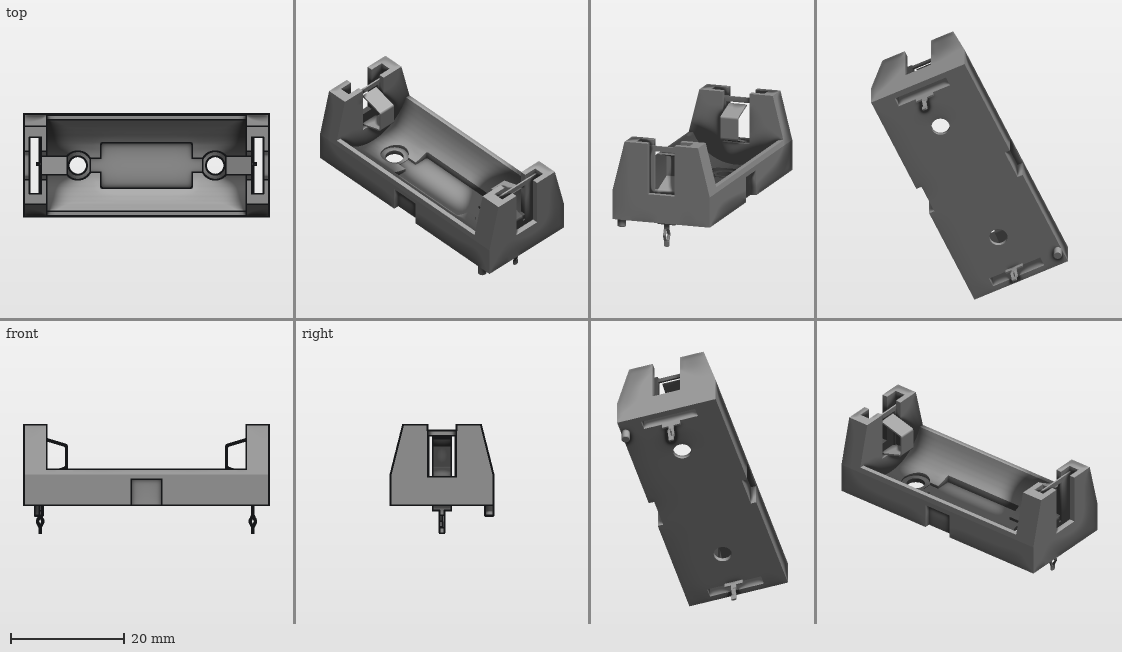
import cadquery as cq

LENGTH = 43.3
WIDTH = 18.2
BODY_HEIGHT = 14.3
SIDE_HEIGHT = 5.5
TOP_WIDTH = 13.75
RAIL_HEIGHT = 6.4
TOWER_LENGTH = 4.05

TROUGH_RADIUS = 8.8
TROUGH_FLOOR = 1.15
FLAT_WIDTH = 1.2
TROUGH_LENGTH = LENGTH - 2 * TOWER_LENGTH

POCKET_LENGTH = 16.05
POCKET_WIDTH = 7.95
POCKET_CORNER_RADIUS = 0.25
POCKET_FLOOR = 0.7
CHANNEL_WIDTH = 2.45
HOLE_SPACING = 24.25
HOLE_DIAMETER = 3.2
COUNTERBORE_DIAMETER = 5.0
COUNTERBORE_FLOOR = 0.82

NOTCH_LENGTH = 5.35
NOTCH_HEIGHT = 4.6
NOTCH_DEPTH = 1.0

OUTER_WALL = 1.05
CONTACT_SLOT_LENGTH = 2.0
CONTACT_SLOT_WIDTH = 9.95
TOWER_GAP_WIDTH = 5.05
TOWER_GAP_FLOOR = 5.1

PEG_DIAMETER = 1.5
PEG_LENGTH = 1.85
PEG_CHAMFER = 0.15
PEG_INSET = 2.65

SHEET = 0.3
PLATE_TOP = 13.25
WINDOW_WIDTH = 4.6
WINDOW_TOP = 12.3
WINDOW_BOTTOM = 4.2
LEAF_WIDTH = 3.3
LEAF_REACH = 4.65
LEAF_ROOT = 5.2
LEAF_LOWER_BEND = 6.62
LEAF_UPPER_BEND = 10.55
LEAF_TIP = 11.9
LEAF_BEND_RADIUS = 0.3
FOOT_DEPTH = 0.9
PIN_WIDTH = 0.95
PIN_LENGTH = 4.95
PIN_TIP_CHAMFER = 0.17
BOW_TOP = 1.7
BOW_BOTTOM = 3.9
BOW_OFFSET = 0.5
BOW_BEND_RADIUS = 0.35

CONTACT_FACE = -LENGTH / 2 + OUTER_WALL + CONTACT_SLOT_LENGTH
SHEET_MIDDLE = CONTACT_FACE - SHEET / 2


def box(x_range, y_range, z_range):
    """Box between two limits on each axis."""
    limits = (x_range, y_range, z_range)
    size = [high - low for low, high in limits]
    corner = cq.Vector(*[low for low, high in limits])
    return cq.Workplane(cq.Solid.makeBox(*size, pnt=corner))


def centred(width):
    return (-width / 2, width / 2)


def both_ends(shape):
    """The shape at the -X end together with its mirror image at the +X end."""
    return shape.union(shape.mirror("YZ"))


def bent_strip(points, y_range, bend_radius):
    """Sheet strip whose middle line follows (x, z) points."""
    path = cq.Wire.makePolygon([cq.Vector(x, 0, z) for x, z in points])
    path = path.fillet(bend_radius, path.Vertices()[1:-1])
    start_x, start_z = points[0]
    low, high = y_range
    section = cq.Workplane("XY", origin=(start_x, (low + high) / 2, start_z)).rect(SHEET, high - low)
    return section.sweep(cq.Workplane(path))


def make_body():
    outline = [
        (-WIDTH / 2, 0),
        (WIDTH / 2, 0),
        (WIDTH / 2, SIDE_HEIGHT),
        (TOP_WIDTH / 2, BODY_HEIGHT),
        (-TOP_WIDTH / 2, BODY_HEIGHT),
        (-WIDTH / 2, SIDE_HEIGHT),
    ]
    body = cq.Workplane("YZ").polyline(outline).close().extrude(LENGTH / 2, both=True)
    opening = box(centred(TROUGH_LENGTH), centred(WIDTH), (RAIL_HEIGHT, BODY_HEIGHT))
    trough = (
        cq.Workplane("YZ")
        .center(0, TROUGH_FLOOR + TROUGH_RADIUS)
        .circle(TROUGH_RADIUS)
        .extrude(TROUGH_LENGTH / 2, both=True)
    )
    flat_level = TROUGH_FLOOR + TROUGH_RADIUS - (TROUGH_RADIUS**2 - (FLAT_WIDTH / 2) ** 2) ** 0.5
    flat = box(centred(TROUGH_LENGTH), centred(FLAT_WIDTH), (0, flat_level))
    return body.cut(opening).cut(trough).union(flat)


def cut_floor(body):
    recess_levels = (POCKET_FLOOR, RAIL_HEIGHT)
    pocket = box(centred(POCKET_LENGTH), centred(POCKET_WIDTH), recess_levels)
    pocket = pocket.edges("|Z").fillet(POCKET_CORNER_RADIUS)
    counterbore_chord = (COUNTERBORE_DIAMETER**2 - CHANNEL_WIDTH**2) ** 0.5
    channel = box(centred(HOLE_SPACING - counterbore_chord), centred(CHANNEL_WIDTH), recess_levels)
    hole_centres = [(-HOLE_SPACING / 2, 0), (HOLE_SPACING / 2, 0)]
    holes = cq.Workplane("XY").pushPoints(hole_centres).circle(HOLE_DIAMETER / 2).extrude(RAIL_HEIGHT)
    counterbores = (
        cq.Workplane("XY", origin=(0, 0, COUNTERBORE_FLOOR))
        .pushPoints(hole_centres)
        .circle(COUNTERBORE_DIAMETER / 2)
        .extrude(RAIL_HEIGHT - COUNTERBORE_FLOOR)
    )
    return body.cut(pocket).cut(channel).cut(holes).cut(counterbores)


def cut_side_notches(body):
    notch = box(centred(NOTCH_LENGTH), (-WIDTH / 2, -WIDTH / 2 + NOTCH_DEPTH), (0, NOTCH_HEIGHT))
    return body.cut(notch).cut(notch.mirror("XZ"))


def cut_towers(body):
    slot = box(
        (CONTACT_FACE - CONTACT_SLOT_LENGTH, CONTACT_FACE),
        centred(CONTACT_SLOT_WIDTH),
        (0, BODY_HEIGHT),
    )
    gap = box(
        (-LENGTH / 2, -LENGTH / 2 + TOWER_LENGTH),
        centred(TOWER_GAP_WIDTH),
        (TOWER_GAP_FLOOR, BODY_HEIGHT),
    )
    return body.cut(both_ends(slot.union(gap)))


def make_peg():
    return (
        cq.Workplane("XY", origin=(-LENGTH / 2 + PEG_INSET, WIDTH / 2 - PEG_DIAMETER / 2, 0))
        .circle(PEG_DIAMETER / 2)
        .extrude(-PEG_LENGTH)
        .faces("<Z")
        .chamfer(PEG_CHAMFER)
    )


def make_plate():
    """Flat sheet of the contact with its window, foot and solder pin."""
    thickness = (CONTACT_FACE - SHEET, CONTACT_FACE)
    plate = box(thickness, centred(CONTACT_SLOT_WIDTH), (0, PLATE_TOP))
    window = box(thickness, centred(WINDOW_WIDTH), (WINDOW_BOTTOM, WINDOW_TOP))
    foot = box(thickness, centred(LEAF_WIDTH), (-FOOT_DEPTH, 0))
    pin = box(thickness, centred(PIN_WIDTH), (-PIN_LENGTH, -FOOT_DEPTH))
    pin = pin.edges("<Z and |X").chamfer(PIN_TIP_CHAMFER)
    bow_gap = box(thickness, centred(PIN_WIDTH), (-BOW_BOTTOM, -BOW_TOP))
    return plate.cut(window).union(foot).union(pin.cut(bow_gap))


def make_bow(direction, y_range):
    """Half of the split pin, bowed towards +X or -X."""
    points = [
        (SHEET_MIDDLE, -BOW_TOP),
        (SHEET_MIDDLE + direction * BOW_OFFSET, -(BOW_TOP + BOW_BOTTOM) / 2),
        (SHEET_MIDDLE, -BOW_BOTTOM),
    ]
    return bent_strip(points, y_range, BOW_BEND_RADIUS)


def make_leaf():
    """Spring leaf rising from the foot of the window and folded back to the plate."""
    leaf_middle = CONTACT_FACE + LEAF_REACH - SHEET / 2
    points = [
        (SHEET_MIDDLE, WINDOW_BOTTOM),
        (SHEET_MIDDLE, LEAF_ROOT),
        (leaf_middle, LEAF_LOWER_BEND),
        (leaf_middle, LEAF_UPPER_BEND),
        (CONTACT_FACE, LEAF_TIP),
    ]
    return bent_strip(points, centred(LEAF_WIDTH), LEAF_BEND_RADIUS)


def make_contact():
    outward_bow = make_bow(-1, (0, PIN_WIDTH / 2))
    inward_bow = make_bow(1, (-PIN_WIDTH / 2, 0))
    return make_plate().union(make_leaf()).union(outward_bow).union(inward_bow)


body = cut_towers(cut_side_notches(cut_floor(make_body())))
result = body.union(make_peg()).union(both_ends(make_contact()))